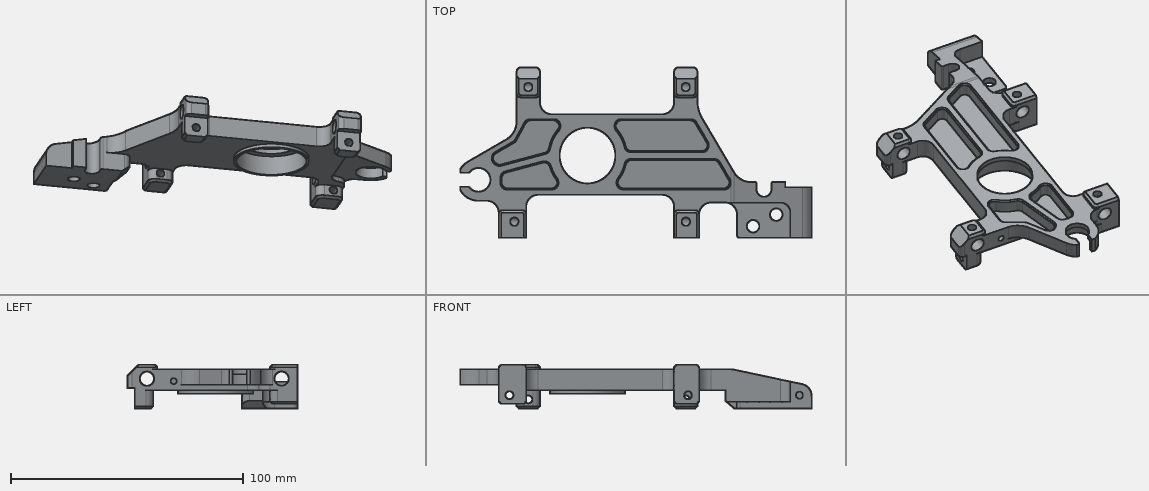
import cadquery as cq
import math

TOTAL_LENGTH = 151.5
TOTAL_WIDTH = 73.5
PAD_TOP = 19.0
PLATE_TOP = 17.0
PLATE_BOTTOM = 7.9
FORK_BOTTOM = 10.1
POCKET_FLOOR = 10.9

PLATE_BACK = 53.3
PLATE_FRONT = 18.5
FILLET = 5.0
RIGHT_BEAM_FRONT = 15.1

BORE_X, BORE_Y = 54.8, 35.5
BORE_R = 12.0
RING_R = 16.2
RING_HEIGHT = 1.5
BEARING_R = 15.1
LIP_BOTTOM = 14.8

FORK_X, FORK_Y = 7.9, 25.0
FORK_BORE_R = 10.1 / 2
FORK_BEARING_R = 6.7
FORK_OUTER_R = 9.1
FORK_SLOT_WIDTH = 5.9
FORK_TIP_R = 0.6
FORK_EDGE_ANGLE = math.radians(30)
FORK_ARM_FILLET = 9.0

ARM_WIDTH = 10.1
LEFT_BACK_X = 24.2
RIGHT_BACK_X = 92.0
LEFT_FRONT_X, LEFT_FRONT_WIDTH = 16.5, 12.0
RIGHT_FRONT_X, RIGHT_FRONT_WIDTH = 92.0, 10.9
BACK_PAD_START = 60.4
BACK_LEG_START = 62.2
BACK_LEG_END = 70.3
OVERHANG_BOTTOM = 8.8
NOSE_BEVEL = 4.8
NOSE_CORNER_R = 2.0
FRONT_PAD_END = 12.0
FRONT_LEG_BOTTOM = 2.0
PAD_CORNER_R = 2.0
LEG_CORNER_R = 3.2
EDGE_CHAMFER = 1.0
ROD_R = 3.0
ROD_Z = 12.9
BACK_ROD_Y = 65.0
FRONT_ROD_Y = 7.0
SCREW_R = 1.7
FRONT_SCREW_Z = 5.8
BACK_SCREW_Z = 4.0
SET_SCREW_R = 1.8
LEFT_FRONT_PAD_SCREW_X = 23.3
LEFT_FRONT_LEG_SCREW_X = 21.2
RIGHT_SCREW_X = 97.2
RIGHT_LEG_SCREW_X = 98.1
SIDE_HOLE_Y, SIDE_HOLE_Z = 53.5, 11.8
SIDE_HOLE_R = 1.29
SIDE_HOLE_DEPTH = 6.0

FOOT_X = 119.2
FOOT_CORNER_R = 1.2
FOOT_BACK = 24.1
END_BACK = 21.8
END_STEP_X = 140.0
FOOT_LEG_X = FOOT_X - FILLET
FOOT_LEG_CORNER_R = 3.2
FOOT_LEG_CHAMFER_LENGTH = 4.0
FOOT_LEG_CHAMFER_HEIGHT = 3.3
FOOT_FLOOR = 2.9
FOOT_WALL_X = 142.2
FOOT_WALL_FILLET = 4.2
FOOT_HOLES = [(136.1, 10.0), (126.1, 5.0)]
FOOT_HOLE_R = 5.3 / 2
END_HOLE_X, END_HOLE_Z = 146.1, 5.8
END_HOLE_R = 1.5
END_HOLE_DEPTH = 9.1
SLOPE_START_X = 117.2
SLOPE_ANGLE = math.radians(12)
SLOPE_BLEND_R = 6.0
END_ROUND_R = 5.3
NOTCH_X = 130.8
NOTCH_R = 3.2
NOTCH_BOTTOM = 17.7
NOTCH_CORNER_R = 0.8

SLANT_ANGLE = math.radians(59.5)
SLANT_FOOT_X = 120.4
SLANT_TOP_FILLET = 15.1
SLANT_FOOT_FILLET = 8.3

POCKET_EDGE_FRONT = 20.7
POCKET_EDGE_BACK = 51.2
POCKET_CORNER_R = 2.4
POCKET_CHAMFER = 0.6
POCKET_BORE_R = 16.4
SLANT_WALL = 3.0
RIB_HALF = 1.4
RIGHT_RIB_Y = BORE_Y
LEFT_RIB_ANGLE = math.radians(15)
LEFT_RIB_Y = 31.3
LEFT_TOP_X = 28.5
LEFT_ELBOW_X = 23.3
LEFT_TIP = (11.4, 34.8)
LEFT_TIP_END_X = 16.2
LEFT_FRONT_POCKET_X = 17.3

MARGIN = 1.5


def block(x0, x1, y0, y1, z0, z1):
    return cq.Workplane("XY").box(x1 - x0, y1 - y0, z1 - z0, centered=False).translate((x0, y0, z0))


def cylinder(x, y, radius, z0, z1):
    return cq.Workplane("XY").workplane(offset=z0).center(x, y).circle(radius).extrude(z1 - z0)


def hole_along_x(y, z, radius, x0, x1):
    return cq.Workplane("YZ").workplane(offset=x0).center(y, z).circle(radius).extrude(x1 - x0)


def hole_along_y(x, z, radius, y0, y1):
    return cq.Workplane("XZ").workplane(offset=-y0).center(x, z).circle(radius).extrude(y0 - y1)


def fillet_corners(solid, corners, radius):
    """Round the vertical edges that stand on the given plan positions."""
    size = 0.2
    for x, y in corners:
        picker = cq.selectors.BoxSelector((x - size, y - size, -size), (x + size, y + size, PAD_TOP + size))
        solid = solid.edges("|Z").edges(picker).fillet(radius)
    return solid


def slant_x(y, wall):
    """X of the slanted right edge at a given Y, moved inward by a wall thickness."""
    return SLANT_FOOT_X - (y - FOOT_BACK) / math.tan(SLANT_ANGLE) - wall / math.sin(SLANT_ANGLE)


def make_plan(bottom, top):
    """Full plan outline of the part with its fillets, between two levels."""
    tangent_x = FORK_X - FORK_OUTER_R * math.sin(FORK_EDGE_ANGLE)
    tangent_y = FORK_Y + FORK_OUTER_R * math.cos(FORK_EDGE_ANGLE)
    elbow = (LEFT_BACK_X, tangent_y + (LEFT_BACK_X - tangent_x) * math.tan(FORK_EDGE_ANGLE))
    fork_front = FORK_Y - FORK_OUTER_R
    arm_right = RIGHT_BACK_X + ARM_WIDTH
    slant_top = (arm_right, FOOT_BACK + (SLANT_FOOT_X - arm_right) * math.tan(SLANT_ANGLE))
    left_front_right = LEFT_FRONT_X + LEFT_FRONT_WIDTH
    right_front_right = RIGHT_FRONT_X + RIGHT_FRONT_WIDTH
    plan = (
        cq.Workplane("XY").workplane(offset=bottom)
        .moveTo(tangent_x, tangent_y)
        .lineTo(*elbow)
        .lineTo(LEFT_BACK_X, TOTAL_WIDTH)
        .lineTo(LEFT_BACK_X + ARM_WIDTH, TOTAL_WIDTH)
        .lineTo(LEFT_BACK_X + ARM_WIDTH, PLATE_BACK)
        .lineTo(RIGHT_BACK_X, PLATE_BACK)
        .lineTo(RIGHT_BACK_X, TOTAL_WIDTH)
        .lineTo(arm_right, TOTAL_WIDTH)
        .lineTo(*slant_top)
        .lineTo(SLANT_FOOT_X, FOOT_BACK)
        .lineTo(END_STEP_X, FOOT_BACK)
        .lineTo(END_STEP_X, END_BACK)
        .lineTo(TOTAL_LENGTH, END_BACK)
        .lineTo(TOTAL_LENGTH, 0)
        .lineTo(FOOT_X, 0)
        .lineTo(FOOT_X, RIGHT_BEAM_FRONT)
        .lineTo(right_front_right, RIGHT_BEAM_FRONT)
        .lineTo(right_front_right, 0)
        .lineTo(RIGHT_FRONT_X, 0)
        .lineTo(RIGHT_FRONT_X, PLATE_FRONT)
        .lineTo(left_front_right, PLATE_FRONT)
        .lineTo(left_front_right, 0)
        .lineTo(LEFT_FRONT_X, 0)
        .lineTo(LEFT_FRONT_X, fork_front)
        .lineTo(FORK_X, fork_front)
        .threePointArc((FORK_X - FORK_OUTER_R, FORK_Y), (tangent_x, tangent_y))
        .close()
        .extrude(top - bottom)
    )
    plan = fillet_corners(plan, [elbow], FORK_ARM_FILLET)
    plan = fillet_corners(plan, [slant_top], SLANT_TOP_FILLET)
    plan = fillet_corners(plan, [(SLANT_FOOT_X, FOOT_BACK)], SLANT_FOOT_FILLET)
    plan = fillet_corners(plan, [(FOOT_X, 0)], FOOT_CORNER_R)
    inner_corners = [
        (LEFT_BACK_X + ARM_WIDTH, PLATE_BACK),
        (RIGHT_BACK_X, PLATE_BACK),
        (RIGHT_FRONT_X, PLATE_FRONT),
        (left_front_right, PLATE_FRONT),
        (LEFT_FRONT_X, fork_front),
        (FOOT_X, RIGHT_BEAM_FRONT),
        (right_front_right, RIGHT_BEAM_FRONT),
    ]
    plan = fillet_corners(plan, inner_corners, FILLET)
    nose_corners = [
        (x, TOTAL_WIDTH)
        for left in (LEFT_BACK_X, RIGHT_BACK_X)
        for x in (left, left + ARM_WIDTH)
    ]
    return fillet_corners(plan, nose_corners, NOSE_CORNER_R)


def fork_cutters():
    """Bore with its bearing seat, slot and the space in front of the fork tips."""
    half = FORK_SLOT_WIDTH / 2
    bore = cylinder(FORK_X, FORK_Y, FORK_BORE_R, 0, PAD_TOP)
    seat = cylinder(FORK_X, FORK_Y, FORK_BEARING_R, 0, LIP_BOTTOM)
    slot = block(-MARGIN, FORK_X, FORK_Y - half, FORK_Y + half, 0, PAD_TOP)
    front = block(-FORK_OUTER_R, 0, 0, TOTAL_WIDTH, 0, PAD_TOP)
    return bore.union(seat).union(slot).union(front)


def fork_relief():
    """Space under the thinner fork, bounded by an S-curve from the arm side to the front leg."""
    drop = LEFT_BACK_X - LEFT_FRONT_X
    fillet_start_y = FORK_Y - FORK_OUTER_R - FILLET
    start_y = FRONT_PAD_END
    angle = math.acos(1 - drop / (2 * FILLET))
    end_y = start_y + 2 * FILLET * math.sin(angle)
    half = angle / 2
    bend = (FILLET * (1 - math.cos(half)), FILLET * math.sin(half))
    return (
        cq.Workplane("XY")
        .moveTo(-MARGIN, fillet_start_y)
        .lineTo(LEFT_FRONT_X, fillet_start_y)
        .lineTo(LEFT_FRONT_X, start_y)
        .threePointArc(
            (LEFT_FRONT_X + bend[0], start_y + bend[1]),
            ((LEFT_FRONT_X + LEFT_BACK_X) / 2, (start_y + end_y) / 2),
        )
        .threePointArc((LEFT_BACK_X - bend[0], end_y - bend[1]), (LEFT_BACK_X, end_y))
        .lineTo(LEFT_BACK_X, BACK_PAD_START)
        .lineTo(-MARGIN, BACK_PAD_START)
        .close()
        .extrude(FORK_BOTTOM)
    )


def back_arm_clamp(left):
    """Raised pad and lower leg of one rear arm."""
    right = left + ARM_WIDTH
    pad = block(left, right, BACK_PAD_START, TOTAL_WIDTH, PLATE_BOTTOM, PAD_TOP)
    pad = pad.edges("|Z and <Y").fillet(PAD_CORNER_R)
    pad = pad.edges("|Z and >Y").fillet(NOSE_CORNER_R)
    pad = pad.faces(">Z").edges().chamfer(EDGE_CHAMFER)
    leg = block(left, right, BACK_LEG_START, BACK_LEG_END, 0, PLATE_TOP)
    leg = leg.edges("|Z and <Y").fillet(LEG_CORNER_R)
    leg = leg.faces("<Z").edges("not >Y").chamfer(EDGE_CHAMFER)
    return pad.union(leg)


def back_nose_cutter(left):
    """Bevel above and step below the nose of one rear arm."""
    bevel = (
        cq.Workplane("YZ").workplane(offset=left)
        .moveTo(TOTAL_WIDTH - NOSE_BEVEL, PAD_TOP)
        .lineTo(TOTAL_WIDTH, PAD_TOP)
        .lineTo(TOTAL_WIDTH, PAD_TOP - NOSE_BEVEL)
        .close()
        .extrude(ARM_WIDTH)
    )
    step = block(left, left + ARM_WIDTH, BACK_LEG_END, TOTAL_WIDTH, 0, OVERHANG_BOTTOM)
    return bevel.union(step)


def front_arm_clamp(left, width):
    """Raised pad and lower leg of one front arm."""
    middle = (PLATE_TOP + PLATE_BOTTOM) / 2
    pad = block(left, left + width, 0, FRONT_PAD_END, middle, PAD_TOP)
    pad = pad.edges("|Z and >Y").fillet(PAD_CORNER_R)
    pad = pad.faces(">Z").edges("not <Y").chamfer(EDGE_CHAMFER)
    leg = block(left, left + width, 0, FRONT_PAD_END, FRONT_LEG_BOTTOM, middle)
    leg = leg.edges("|Z and >Y").fillet(LEG_CORNER_R)
    leg = leg.faces("<Z").edges("not <Y").chamfer(EDGE_CHAMFER)
    return pad.union(leg)


def foot_leg_limit():
    """Envelope of the material below the plate at the right foot."""
    limit = block(FOOT_LEG_X, TOTAL_LENGTH, 0, FOOT_BACK, 0, PLATE_TOP)
    limit = limit.edges("|Z and <X and >Y").fillet(FOOT_LEG_CORNER_R)
    wedge = (
        cq.Workplane("XZ").workplane(offset=-FOOT_BACK)
        .moveTo(FOOT_LEG_X, 0)
        .lineTo(FOOT_LEG_X + FOOT_LEG_CHAMFER_LENGTH, 0)
        .lineTo(FOOT_LEG_X, FOOT_LEG_CHAMFER_HEIGHT)
        .close()
        .extrude(FOOT_BACK)
    )
    return limit.cut(wedge)


def foot_profile_cutter():
    """Space above the sloping top and rounded end of the foot."""
    blend = SLOPE_BLEND_R * math.tan(SLOPE_ANGLE / 2)
    round_x = TOTAL_LENGTH - END_ROUND_R
    tangent_x = round_x + END_ROUND_R * math.sin(SLOPE_ANGLE)
    tangent_z = PLATE_TOP - (tangent_x - SLOPE_START_X) * math.tan(SLOPE_ANGLE)
    round_z = tangent_z - END_ROUND_R * math.cos(SLOPE_ANGLE)
    middle = (math.pi / 2 - SLOPE_ANGLE) / 2
    half = SLOPE_ANGLE / 2
    return (
        cq.Workplane("XZ")
        .moveTo(SLOPE_START_X - blend, PLATE_TOP)
        .threePointArc(
            (
                SLOPE_START_X - blend + SLOPE_BLEND_R * math.sin(half),
                PLATE_TOP - SLOPE_BLEND_R * (1 - math.cos(half)),
            ),
            (SLOPE_START_X + blend * math.cos(SLOPE_ANGLE), PLATE_TOP - blend * math.sin(SLOPE_ANGLE)),
        )
        .lineTo(tangent_x, tangent_z)
        .threePointArc(
            (round_x + END_ROUND_R * math.cos(middle), round_z + END_ROUND_R * math.sin(middle)),
            (TOTAL_LENGTH, round_z),
        )
        .lineTo(TOTAL_LENGTH + MARGIN, round_z)
        .lineTo(TOTAL_LENGTH + MARGIN, PAD_TOP)
        .lineTo(SLOPE_START_X - blend, PAD_TOP)
        .close()
        .extrude(-TOTAL_WIDTH)
    )


def foot_cutters():
    """Open recess above the foot floor, its holes and the rear notch."""
    recess = block(FOOT_LEG_X, FOOT_WALL_X, -MARGIN, RIGHT_BEAM_FRONT, FOOT_FLOOR, PAD_TOP)
    recess = recess.edges("|Z and >X and >Y").fillet(FOOT_WALL_FILLET)
    notch_centre_y = NOTCH_BOTTOM + NOTCH_R
    notch = cylinder(NOTCH_X, notch_centre_y, NOTCH_R, 0, PAD_TOP)
    notch = notch.union(
        block(NOTCH_X - NOTCH_R, NOTCH_X + NOTCH_R, notch_centre_y, FOOT_BACK, 0, PAD_TOP)
    )
    cutters = recess.union(notch)
    for x, y in FOOT_HOLES:
        cutters = cutters.union(cylinder(x, y, FOOT_HOLE_R, 0, PLATE_BOTTOM))
    return cutters.union(hole_along_y(END_HOLE_X, END_HOLE_Z, END_HOLE_R, 0, END_HOLE_DEPTH))


def pocket(rim_corners):
    """Pocket space inside the rim chamfer, with rounded corners, kept clear of the main bore."""
    space = (
        cq.Workplane("XY").workplane(offset=POCKET_FLOOR)
        .polyline(rim_corners).close()
        .offset2D(-POCKET_CHAMFER, "intersection")
        .extrude(PLATE_TOP - POCKET_FLOOR)
    )
    space = space.cut(cylinder(BORE_X, BORE_Y, POCKET_BORE_R + POCKET_CHAMFER, 0, PAD_TOP))
    return space.edges("|Z").fillet(POCKET_CORNER_R)


def pocket_rims():
    """Corners of the four pocket rims; the sides at the bore axis are replaced by an arc."""
    rib_slope = math.tan(LEFT_RIB_ANGLE)
    rib_rise = RIB_HALF / math.cos(LEFT_RIB_ANGLE)

    def rib_y(x):
        return LEFT_RIB_Y + (x - LEFT_BACK_X) * rib_slope

    tip_x, tip_y = LEFT_TIP
    tip_end_y = rib_y(LEFT_TIP_END_X) + rib_rise
    elbow_y = tip_y + (LEFT_ELBOW_X - tip_x) * math.tan(FORK_EDGE_ANGLE)
    left_back = [
        (LEFT_TOP_X, POCKET_EDGE_BACK),
        (BORE_X, POCKET_EDGE_BACK),
        (BORE_X, rib_y(BORE_X) + rib_rise),
        (LEFT_TIP_END_X, tip_end_y),
        (tip_x, tip_y),
        (LEFT_ELBOW_X, elbow_y),
    ]
    left_front = [
        (LEFT_FRONT_POCKET_X, POCKET_EDGE_FRONT),
        (BORE_X, POCKET_EDGE_FRONT),
        (BORE_X, rib_y(BORE_X) - rib_rise),
        (LEFT_FRONT_POCKET_X, rib_y(LEFT_FRONT_POCKET_X) - rib_rise),
    ]
    right_pockets = [
        [
            (BORE_X, low),
            (slant_x(low, SLANT_WALL), low),
            (slant_x(high, SLANT_WALL), high),
            (BORE_X, high),
        ]
        for low, high in (
            (RIGHT_RIB_Y + RIB_HALF, POCKET_EDGE_BACK),
            (POCKET_EDGE_FRONT, RIGHT_RIB_Y - RIB_HALF),
        )
    ]
    return [left_back, left_front] + right_pockets


body = make_plan(PLATE_BOTTOM, PLATE_TOP)
for rim in pocket_rims():
    body = body.cut(pocket(rim))
rim_edges = [edge for wire in body.faces(">Z").val().innerWires() for edge in wire.Edges()]
body = body.newObject(rim_edges).chamfer(POCKET_CHAMFER)
body = body.union(make_plan(0, PLATE_BOTTOM).intersect(foot_leg_limit()))
body = body.cut(foot_profile_cutter()).cut(foot_cutters())
notch_corners = [(NOTCH_X + side * NOTCH_R, FOOT_BACK) for side in (-1, 1)]
body = fillet_corners(body, notch_corners, NOTCH_CORNER_R)
body = body.union(cylinder(BORE_X, BORE_Y, RING_R, PLATE_BOTTOM - RING_HEIGHT, PLATE_BOTTOM))
body = body.cut(cylinder(BORE_X, BORE_Y, BORE_R, 0, PAD_TOP))
body = body.cut(cylinder(BORE_X, BORE_Y, BEARING_R, 0, LIP_BOTTOM))
body = body.cut(fork_cutters()).cut(fork_relief())
body = fillet_corners(body, [(0, FORK_Y + FORK_SLOT_WIDTH / 2)], FORK_TIP_R)

for left in (LEFT_BACK_X, RIGHT_BACK_X):
    right = left + ARM_WIDTH
    middle_x = (left + right) / 2
    body = body.union(back_arm_clamp(left)).cut(back_nose_cutter(left))
    body = body.cut(hole_along_x(BACK_ROD_Y, ROD_Z, ROD_R, left, right))
    body = body.cut(cylinder(middle_x, BACK_ROD_Y, SET_SCREW_R, ROD_Z, PAD_TOP))
    body = body.cut(hole_along_y(middle_x, BACK_SCREW_Z, SCREW_R, BACK_LEG_START, BACK_LEG_END))

front_arms = [
    (LEFT_FRONT_X, LEFT_FRONT_WIDTH, LEFT_FRONT_PAD_SCREW_X, LEFT_FRONT_LEG_SCREW_X),
    (RIGHT_FRONT_X, RIGHT_FRONT_WIDTH, RIGHT_SCREW_X, RIGHT_LEG_SCREW_X),
]
for left, width, pad_screw_x, leg_screw_x in front_arms:
    body = body.union(front_arm_clamp(left, width))
    body = body.cut(hole_along_x(FRONT_ROD_Y, ROD_Z, ROD_R, left, left + width))
    body = body.cut(cylinder(pad_screw_x, FRONT_ROD_Y, SET_SCREW_R, ROD_Z, PAD_TOP))
    body = body.cut(hole_along_y(leg_screw_x, FRONT_SCREW_Z, SCREW_R, 0, FRONT_PAD_END))

result = body.cut(
    hole_along_x(SIDE_HOLE_Y, SIDE_HOLE_Z, SIDE_HOLE_R, LEFT_BACK_X, LEFT_BACK_X + SIDE_HOLE_DEPTH)
)